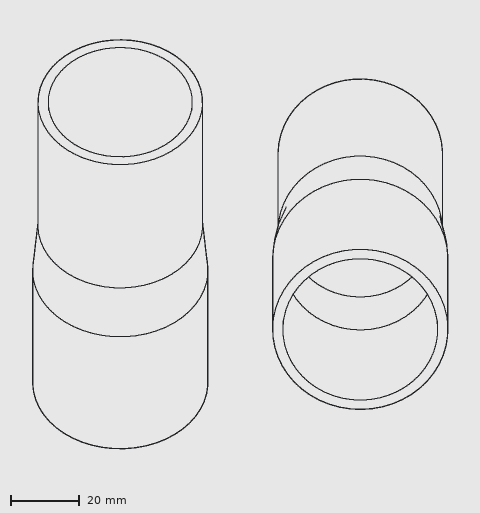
import cadquery as cq

total_height = 125.0
lower_height = 50.0
transition_height = 20.0
upper_height = total_height - lower_height - transition_height

lower_outer_diameter = 51.0
lower_inner_diameter = 45.0
upper_outer_diameter = 47.9
upper_inner_diameter = 41.9

transition_bottom = lower_height
transition_top = lower_height + transition_height


def make_tube(outer_diameter, inner_diameter, height, base):
    """Straight tube standing on the height `base`."""
    return (
        cq.Workplane("XY", origin=(0, 0, base))
        .circle(outer_diameter / 2)
        .circle(inner_diameter / 2)
        .extrude(height)
    )


def make_transition():
    """Reducing tube whose walls follow S-curves tangent to both straight tubes."""
    lower_outer = (lower_outer_diameter / 2, transition_bottom)
    lower_inner = (lower_inner_diameter / 2, transition_bottom)
    upper_outer = (upper_outer_diameter / 2, transition_top)
    upper_inner = (upper_inner_diameter / 2, transition_top)
    upward = (0, 1)
    downward = (0, -1)
    return (
        cq.Workplane("XZ")
        .moveTo(*lower_outer)
        .spline([upper_outer], tangents=[upward, upward], includeCurrent=True)
        .lineTo(*upper_inner)
        .spline([lower_inner], tangents=[downward, downward], includeCurrent=True)
        .close()
        .revolve(360, (0, 0, 0), (0, 1, 0))
    )


lower_tube = make_tube(lower_outer_diameter, lower_inner_diameter, lower_height, 0)
transition = make_transition()
upper_tube = make_tube(upper_outer_diameter, upper_inner_diameter, upper_height, transition_top)

result = cq.Compound.makeCompound([lower_tube.val(), transition.val(), upper_tube.val()])